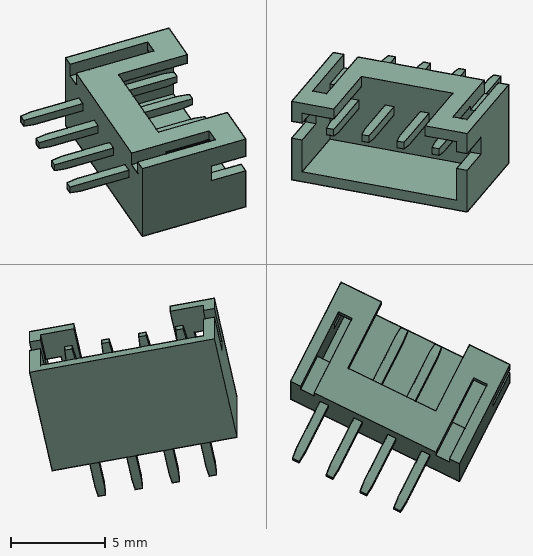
import cadquery as cq

HOUSING_WIDTH = 10.0
HOUSING_LENGTH = 6.0
HOUSING_HEIGHT = 4.7
WALL = 0.6
REAR_WALL = 2.0

WINDOW_WIDTH = 5.2

KEY_SLOT_WIDTH = 0.8
KEY_SLOT_LENGTH = 4.5
KEY_SLOT_DEPTH = 0.8
KEY_SLOT_OFFSET = 0.6

NOTCH_LENGTH = 2.0
NOTCH_HEIGHT = 1.0
NOTCH_TOP_DEPTH = 1.2

PIN_COUNT = 4
PIN_PITCH = 2.0
PIN_SIZE = 0.5
PIN_TIP_SIZE = 0.4
PIN_TIP_LENGTH = 0.6
PIN_REAR_LENGTH = 3.4
PIN_FRONT_SETBACK = 0.5
PIN_DEPTH = 1.7

PIN_Z = HOUSING_HEIGHT - PIN_DEPTH


def block(width, y_range, z_range, x_center=0.0):
    """Box centred on x_center that fills the given Y and Z ranges."""
    y_min, y_max = y_range
    z_min, z_max = z_range
    box = cq.Workplane("XY").box(width, y_max - y_min, z_max - z_min, centered=(True, False, False))
    return box.translate((x_center, y_min, z_min))


def make_housing():
    """Shroud with its cavity, mating window, key slots and side notches."""
    cavity_y = (REAR_WALL, HOUSING_LENGTH)
    housing = block(HOUSING_WIDTH, (0, HOUSING_LENGTH), (0, HOUSING_HEIGHT))

    cavity = block(HOUSING_WIDTH - 2 * WALL, cavity_y, (WALL, HOUSING_HEIGHT - WALL))
    window = block(WINDOW_WIDTH, cavity_y, (HOUSING_HEIGHT - WALL, HOUSING_HEIGHT))
    housing = housing.cut(cavity).cut(window)

    slot_x = HOUSING_WIDTH / 2 - KEY_SLOT_OFFSET - KEY_SLOT_WIDTH / 2
    slot_z = (HOUSING_HEIGHT - KEY_SLOT_DEPTH, HOUSING_HEIGHT)
    for side in (-1, 1):
        housing = housing.cut(block(KEY_SLOT_WIDTH, (0, KEY_SLOT_LENGTH), slot_z, side * slot_x))

    notch_top = HOUSING_HEIGHT - NOTCH_TOP_DEPTH
    notch_y = (HOUSING_LENGTH - NOTCH_LENGTH, HOUSING_LENGTH)
    return housing.cut(block(HOUSING_WIDTH, notch_y, (notch_top - NOTCH_HEIGHT, notch_top)))


def make_pin_tip():
    """Square frustum that narrows from the XY plane towards +Z."""
    return (
        cq.Workplane("XY")
        .rect(PIN_SIZE, PIN_SIZE)
        .workplane(offset=PIN_TIP_LENGTH)
        .rect(PIN_TIP_SIZE, PIN_TIP_SIZE)
        .loft()
    )


def make_pin():
    """Pin along Y on the X = 0 plane, tapered at both ends."""
    shank_rear = -PIN_REAR_LENGTH + PIN_TIP_LENGTH
    shank_front = HOUSING_LENGTH - PIN_FRONT_SETBACK - PIN_TIP_LENGTH
    shank = block(PIN_SIZE, (shank_rear, shank_front), (-PIN_SIZE / 2, PIN_SIZE / 2))

    origin = (0, 0, 0)
    x_direction = (1, 0, 0)
    front_tip = make_pin_tip().rotate(origin, x_direction, -90).translate((0, shank_front, 0))
    rear_tip = make_pin_tip().rotate(origin, x_direction, 90).translate((0, shank_rear, 0))
    return shank.union(front_tip).union(rear_tip).translate((0, 0, PIN_Z))


result = make_housing()
pin = make_pin()
for index in range(PIN_COUNT):
    pin_x = (index - (PIN_COUNT - 1) / 2) * PIN_PITCH
    result = result.union(pin.translate((pin_x, 0, 0)))